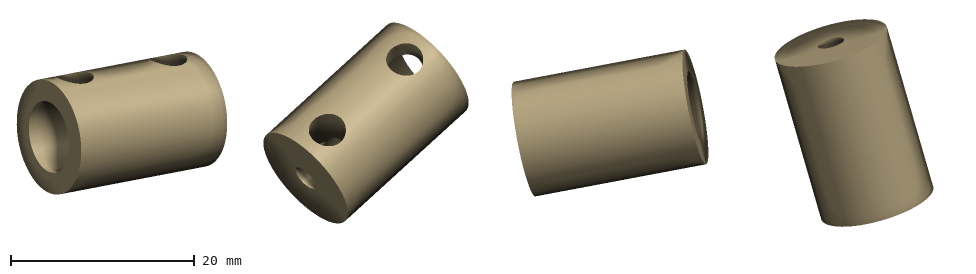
import cadquery as cq
import math

outer_diameter = 12.7
length = 19.05

wide_bore_diameter = 7.94
narrow_bore_diameter = 3.0
wide_bore_depth = length / 2
drill_point_angle = 118.0

screw_hole_diameter = 4.04
screw_hole_end_distance = 3.43

outer_radius = outer_diameter / 2
wide_bore_radius = wide_bore_diameter / 2
narrow_bore_radius = narrow_bore_diameter / 2
front_y = -length / 2
back_y = length / 2


def sleeve():
    """Revolve the half section of the bored sleeve about the Y axis."""
    cone_start_y = front_y + wide_bore_depth
    half_angle = math.radians(drill_point_angle / 2)
    cone_length = (wide_bore_radius - narrow_bore_radius) / math.tan(half_angle)
    half_section = [
        (front_y, wide_bore_radius),
        (front_y, outer_radius),
        (back_y, outer_radius),
        (back_y, narrow_bore_radius),
        (cone_start_y + cone_length, narrow_bore_radius),
        (cone_start_y, wide_bore_radius),
    ]
    return cq.Workplane("YZ").polyline(half_section).close().revolve(360, (0, 0, 0), (1, 0, 0))


def screw_holes():
    """Two radial holes reaching from the bore axis out through the +Z wall."""
    hole_y = back_y - screw_hole_end_distance
    return (
        cq.Workplane("XY")
        .pushPoints([(0, -hole_y), (0, hole_y)])
        .circle(screw_hole_diameter / 2)
        .extrude(outer_radius)
    )


result = sleeve().cut(screw_holes())